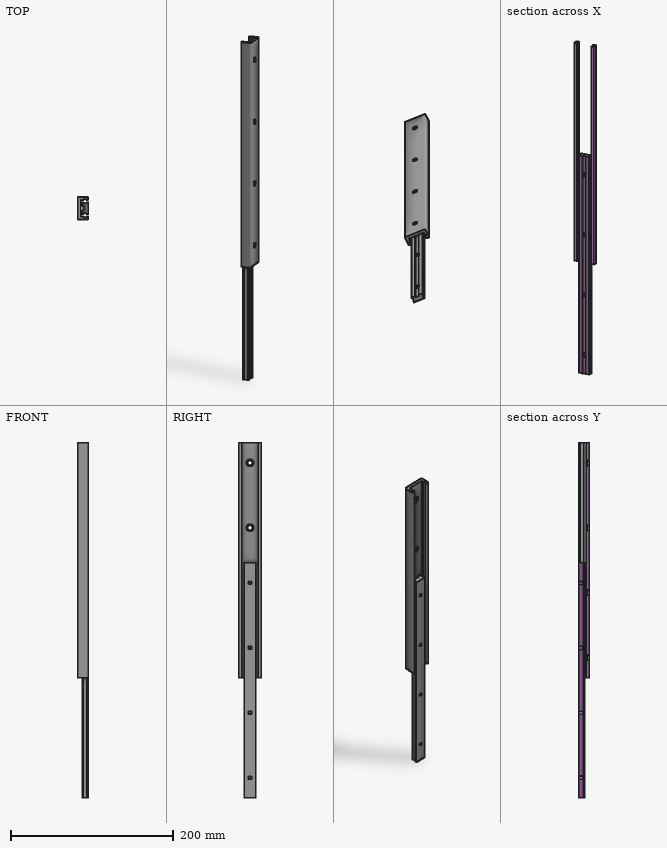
import cadquery as cq

slide_depth = 13.0
outer_width = 28.0
rail_length = 290.0
travel = 148.0

back_wall = 4.0
flange = 4.0
corner_radius = 1.0
tip_radius = 1.5

back_gap = 1.5
side_gap = 2.75
inner_back = back_wall + back_gap
inner_width = outer_width - 2 * (flange + side_gap)

groove_mouth = 6.0
groove_floor = 4.0
groove_depth = 1.5
groove_bottom = inner_back + groove_depth

track_diameter = 5.0
track_x = 8.75
track_y = (inner_width + side_gap) / 2

hole_count = 4
hole_pitch = 80.0
end_margin = (rail_length - (hole_count - 1) * hole_pitch) / 2
outer_hole_diameter = 6.0
outer_sink_diameter = 9.0
inner_hole_diameter = 3.5
inner_sink_diameter = 5.5

outer_bottom = travel
inner_bottom = 0.0


def bar(x_start, x_end, width, z_start):
    """Straight bar of one rail length, centred on Y."""
    return (
        cq.Workplane("XY", origin=(x_start, 0, z_start))
        .box(x_end - x_start, width, rail_length, centered=(False, True, False))
    )


def ball_tracks(z_start):
    """Two round bars that fill the ball tracks along one rail."""
    return (
        cq.Workplane("XY", origin=(0, 0, z_start))
        .pushPoints([(track_x, -track_y), (track_x, track_y)])
        .circle(track_diameter / 2)
        .extrude(rail_length)
    )


def back_groove():
    """Trapezoidal bar that fills the groove of the inner rail."""
    return (
        cq.Workplane("XY", origin=(0, 0, inner_bottom))
        .moveTo(inner_back, -groove_mouth / 2)
        .lineTo(groove_bottom, -groove_floor / 2)
        .lineTo(groove_bottom, groove_floor / 2)
        .lineTo(inner_back, groove_mouth / 2)
        .close()
        .extrude(rail_length)
    )


def drill_countersunk(rail, z_start, seat_x, toward_x, hole_diameter, sink_diameter):
    """Drill the row of holes along X; each 90 degree countersink narrows from seat_x toward +X or -X."""
    hole_radius = hole_diameter / 2
    sink_radius = sink_diameter / 2
    sink_depth = sink_radius - hole_radius
    for i in range(hole_count):
        z = z_start + end_margin + i * hole_pitch
        drill = cq.Solid.makeCylinder(hole_radius, slide_depth, cq.Vector(0, 0, z), cq.Vector(1, 0, 0))
        seat = cq.Vector(seat_x, 0, z)
        sink = cq.Solid.makeCone(sink_radius, hole_radius, sink_depth, seat, cq.Vector(toward_x, 0, 0))
        rail = rail.cut(cq.Workplane(drill)).cut(cq.Workplane(sink))
    return rail


def make_outer_rail():
    """C-shaped channel, countersunk on the inside of its back wall."""
    body = bar(0, slide_depth, outer_width, outer_bottom)
    body = body.edges("|Z and <X").fillet(corner_radius)
    body = body.cut(bar(back_wall, slide_depth, outer_width - 2 * flange, outer_bottom))
    body = body.edges("|Z and >X").fillet(tip_radius)
    body = body.cut(ball_tracks(outer_bottom))
    return drill_countersunk(body, outer_bottom, back_wall, -1, outer_hole_diameter, outer_sink_diameter)


def make_inner_rail():
    """Grooved bar, countersunk at the floor of its groove."""
    body = bar(inner_back, slide_depth, inner_width, inner_bottom)
    body = body.cut(back_groove()).cut(ball_tracks(inner_bottom))
    return drill_countersunk(body, inner_bottom, groove_bottom, 1, inner_hole_diameter, inner_sink_diameter)


outer_rail = make_outer_rail()
inner_rail = make_inner_rail()

result = cq.Compound.makeCompound([outer_rail.val(), inner_rail.val()])